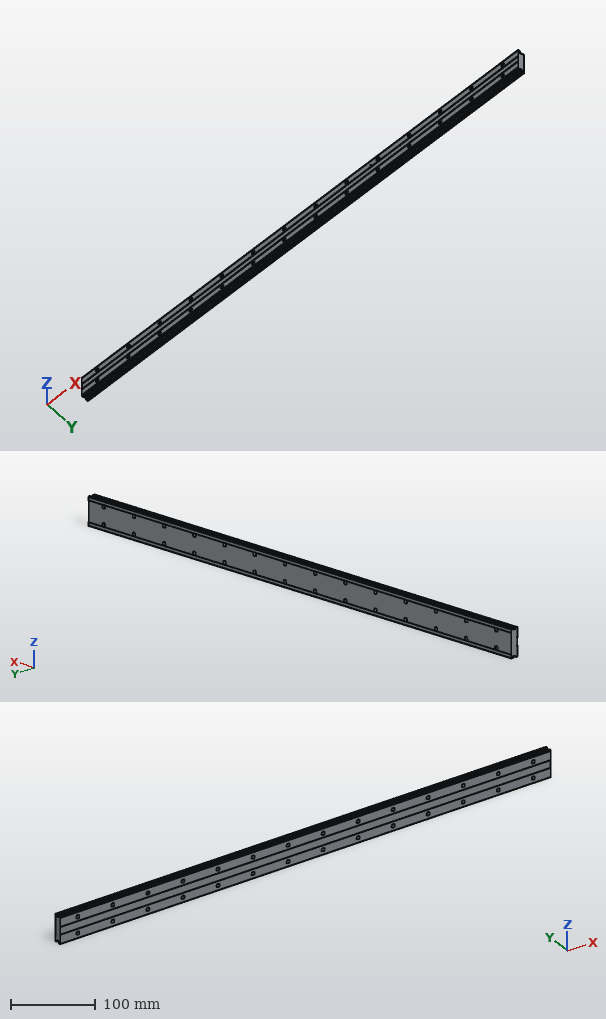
import cadquery as cq

length = 700.0
thickness = 11.0
height = 37.0
corner_chamfer = 1.0

channel_depth = 0.5
front_channel_width = 10.5
back_channel_width = 27.0

groove_mouth_width = 5.5
groove_slot_width = 3.0
groove_depth = 1.8
groove_mouth_depth = groove_depth / 2

hole_count = 14
hole_pitch = length / hole_count
hole_row_spacing = 22.5
hole_diameter = 4.5


def make_bar():
    """Rectangular bar, centred on the origin, with its long corners chamfered."""
    bar = cq.Workplane("XY").box(length, thickness, height)
    return bar.edges("|X").chamfer(corner_chamfer)


def make_channel(side, width):
    """Cutter for the channel in the front (side = -1) or back (side = 1) face."""
    channel = cq.Workplane("XY").box(length, 2 * channel_depth, width)
    return channel.translate((0, side * thickness / 2, 0))


def make_edge_groove(side):
    """Cutter for the groove along the top (side = 1) or bottom (side = -1) edge."""
    rim = side * height / 2
    shoulder = rim - side * groove_mouth_depth
    floor = rim - side * groove_depth
    half_mouth = groove_mouth_width / 2
    half_slot = groove_slot_width / 2
    outline = [
        (-half_mouth, rim),
        (-half_slot, shoulder),
        (-half_slot, floor),
        (half_slot, floor),
        (half_slot, shoulder),
        (half_mouth, rim),
    ]
    return cq.Workplane("YZ").polyline(outline).close().extrude(length / 2, both=True)


def make_holes():
    """Cutter for both rows of through holes."""
    return (
        cq.Workplane("XZ")
        .rarray(hole_pitch, hole_row_spacing, hole_count, 2)
        .circle(hole_diameter / 2)
        .extrude(thickness, both=True)
    )


result = make_bar()
result = result.cut(make_channel(-1, front_channel_width))
result = result.cut(make_channel(1, back_channel_width))
for side in (1, -1):
    result = result.cut(make_edge_groove(side))
result = result.cut(make_holes())